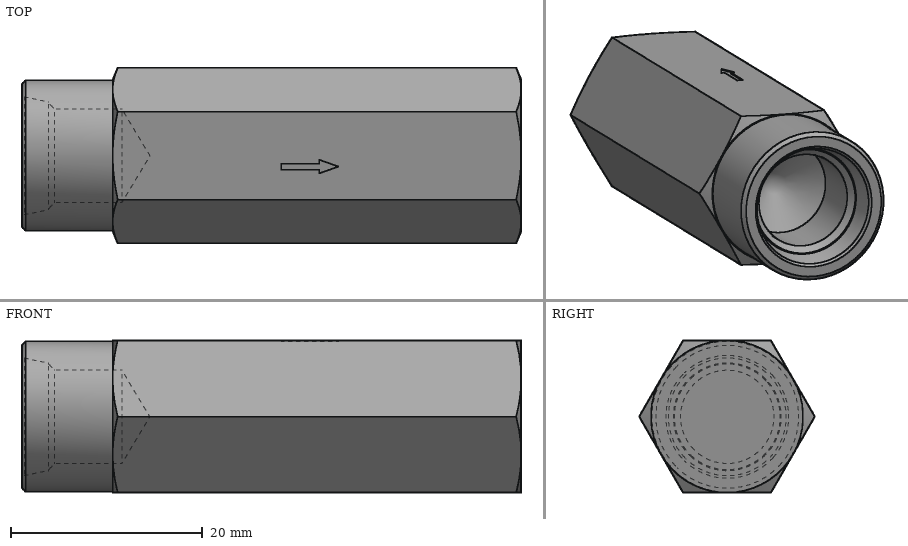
import cadquery as cq
import math

length = 52.05
corner_diameter = 18.35
corner_radius = corner_diameter / 2
flat_radius = corner_radius * math.cos(math.pi / 6)

collar_length = 9.5
collar_radius = 15.7 / 2
collar_chamfer = 0.4

trim_depth = 0.5

mouth_radius = 6.4
mouth_chamfer = 0.25
seat_radius = 5.6
seat_depth = 2.75
ledge_radius = 5.5
bore_radius = 9.75 / 2
bore_depth = 10.4
ledge_length = ledge_radius - bore_radius
drill_point_angle = 118
tip_length = bore_radius / math.tan(math.radians(drill_point_angle / 2))

arrow_start = 27.1
arrow_y = -1.15
arrow_shaft_length = 3.95
arrow_shaft_width = 0.6
arrow_head_length = 2.0
arrow_head_width = 1.4
arrow_depth = 0.1


def revolve_about_x(points):
    """Solid of revolution about the X axis from (x, radius) points."""
    return cq.Workplane("XY").polyline(points).close().revolve(360, (0, 0, 0), (1, 0, 0))


def make_hexagon():
    prism = (
        cq.Workplane("YZ", origin=(collar_length, 0, 0))
        .polygon(6, corner_diameter)
        .extrude(length - collar_length)
    )
    trim = revolve_about_x([
        (collar_length, 0),
        (collar_length, flat_radius),
        (collar_length + trim_depth, corner_radius),
        (length - trim_depth, corner_radius),
        (length, flat_radius),
        (length, 0),
    ])
    return prism.intersect(trim)


def make_collar():
    return revolve_about_x([
        (0, 0),
        (0, collar_radius - collar_chamfer),
        (collar_chamfer, collar_radius),
        (collar_length, collar_radius),
        (collar_length, 0),
    ])


def make_bore():
    return revolve_about_x([
        (0, 0),
        (0, mouth_radius),
        (mouth_chamfer, mouth_radius - mouth_chamfer),
        (seat_depth, seat_radius),
        (seat_depth, ledge_radius),
        (seat_depth + ledge_length, bore_radius),
        (bore_depth, bore_radius),
        (bore_depth + tip_length, 0),
    ])


def make_arrow():
    shaft_half = arrow_shaft_width / 2
    head_half = arrow_head_width / 2
    return (
        cq.Workplane("XY", origin=(arrow_start, arrow_y, flat_radius))
        .polyline([
            (0, -shaft_half),
            (arrow_shaft_length, -shaft_half),
            (arrow_shaft_length, -head_half),
            (arrow_shaft_length + arrow_head_length, 0),
            (arrow_shaft_length, head_half),
            (arrow_shaft_length, shaft_half),
            (0, shaft_half),
        ])
        .close()
        .extrude(-arrow_depth)
    )


result = make_hexagon().union(make_collar()).cut(make_bore()).cut(make_arrow())